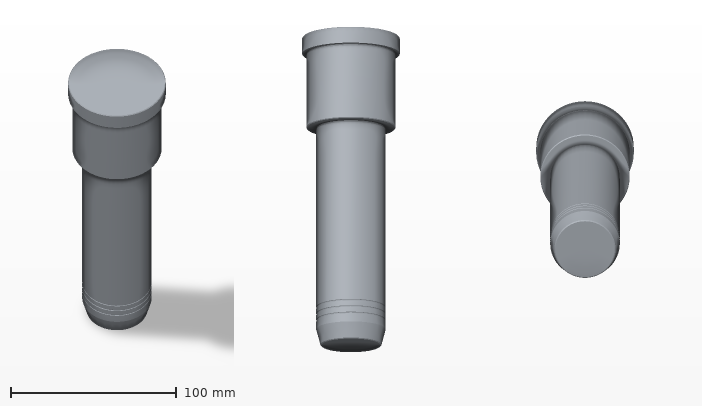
import cadquery as cq
import math

total_length = 191.0
head_diameter = 59.0
head_height = 10.0
shoulder_diameter = 54.0
shoulder_length = 46.0
shank_diameter = 42.0
edge_chamfer = 0.5

neck_relief_depth = 0.4
neck_relief_width = 1.1

groove_depth = 0.29
head_groove_width = 1.1
shank_groove_count = 3
shank_groove_width = 0.92
shank_groove_gap = 3.0
lowest_groove_center = 15.5

taper_length = 10.0
taper_angle = 15.0

shank_radius = shank_diameter / 2
shoulder_radius = shoulder_diameter / 2
head_base = total_length - head_height
shoulder_base = head_base - shoulder_length
tip_radius = shank_radius - taper_length * math.tan(math.radians(taper_angle))
shank_groove_pitch = shank_groove_width + shank_groove_gap


def cylinder(radius, base, height):
    return cq.Workplane("XY").workplane(offset=base).circle(radius).extrude(height)


def revolved(profile):
    """Turn a closed outline of (radius, height) points about the Z axis."""
    return cq.Workplane("XZ").polyline(profile).close().revolve(360, (0, 0, 0), (0, 1, 0))


def lead_in():
    """Cone widening from the tip up to the shank, with its bottom edge broken."""
    cone = revolved([(0, 0), (tip_radius, 0), (shank_radius, taper_length), (0, taper_length)])
    return cone.faces("<Z").chamfer(edge_chamfer)


def neck_relief_cutter():
    base = shoulder_base - neck_relief_width
    outer = cylinder(shank_radius, base, neck_relief_width)
    return outer.cut(cylinder(shank_radius - neck_relief_depth, base, neck_relief_width))


def groove_cutter(radius, center, width):
    """Ring that cuts a groove with a flat floor and 45 degree walls, centred at a height."""
    rim = width / 2
    floor = rim - groove_depth
    floor_radius = radius - groove_depth
    return revolved(
        [
            (radius, center - rim),
            (floor_radius, center - floor),
            (floor_radius, center + floor),
            (radius, center + rim),
        ]
    )


head = cylinder(head_diameter / 2, head_base, head_height).faces(">Z").chamfer(edge_chamfer)
shoulder = cylinder(shoulder_radius, shoulder_base, shoulder_length).faces("<Z").chamfer(edge_chamfer)
shank = cylinder(shank_radius, taper_length, shoulder_base - taper_length)
result = lead_in().union(shank).union(shoulder).union(head)

result = result.cut(neck_relief_cutter())

head_groove_center = head_base - head_groove_width / 2
result = result.cut(groove_cutter(shoulder_radius, head_groove_center, head_groove_width))

for index in range(shank_groove_count):
    groove_center = lowest_groove_center + index * shank_groove_pitch
    result = result.cut(groove_cutter(shank_radius, groove_center, shank_groove_width))